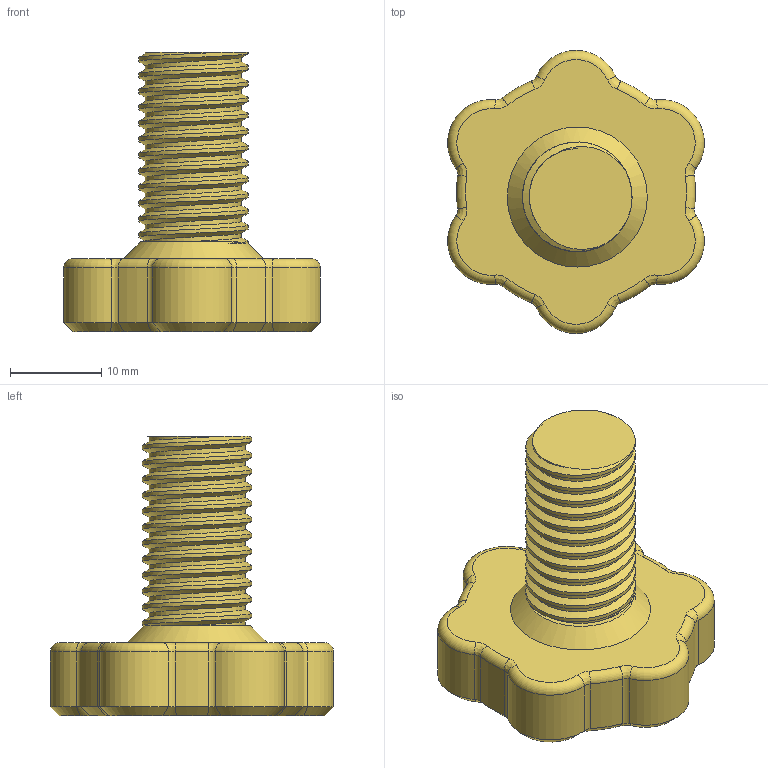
import cadquery as cq
import math

lobe_count = 6
lobe_step = 360 / lobe_count
first_lobe_angle = 90
lobe_centre_radius = 10.75
lobe_radius = 4.75
disc_radius = 13.1
valley_fillet = 1.0
knob_height = 8.0
rim_fillet = 1.0
rim_chamfer = 1.0

stud_x = 0.14
stud_y = -0.56
total_height = 30.62

major_radius = 6.0
pitch = 1.75
thread_depth = 0.74
crest_width = 0.42
flank_angle = 30.0
ridge_overlap = 0.2
core_radius = major_radius - thread_depth

collar_height = 1.85
collar_base_radius = 7.67
collar_top_radius = collar_base_radius - collar_height

ridge_turns = 13
extra_turns = 1
ridge_rise = 0.08
ridge_start = total_height + ridge_rise - ridge_turns * pitch


def make_knob():
    lobe_spots = cq.Workplane("XY").polarArray(lobe_centre_radius, first_lobe_angle, 360, lobe_count)
    knob = cq.Workplane("XY").circle(disc_radius).extrude(knob_height)
    knob = knob.union(lobe_spots.circle(lobe_radius).extrude(knob_height))
    triangle_cosine = (disc_radius**2 + lobe_centre_radius**2 - lobe_radius**2) / (
        2 * disc_radius * lobe_centre_radius
    )
    valley_angle = math.degrees(math.acos(triangle_cosine))
    for lobe in range(lobe_count):
        for side in (-1, 1):
            angle = math.radians(first_lobe_angle + lobe * lobe_step + side * valley_angle)
            spot = (disc_radius * math.cos(angle), disc_radius * math.sin(angle), knob_height / 2)
            knob = knob.edges(cq.selectors.NearestToPointSelector(spot)).fillet(valley_fillet)
    knob = knob.faces(">Z").edges().fillet(rim_fillet)
    return knob.faces("<Z").edges().chamfer(rim_chamfer)


def make_collar():
    return (
        cq.Workplane("XY")
        .workplane(offset=knob_height)
        .circle(collar_base_radius)
        .workplane(offset=collar_height)
        .circle(collar_top_radius)
        .loft(ruled=True)
    )


def make_stud():
    core = (
        cq.Workplane("XY").workplane(offset=knob_height)
        .circle(core_radius).extrude(total_height - knob_height)
    )
    root_radius = core_radius - ridge_overlap
    half_crest = crest_width / 2
    half_root = half_crest + (thread_depth + ridge_overlap) * math.tan(math.radians(flank_angle))
    helix = cq.Wire.makeHelix(pitch, (ridge_turns + extra_turns) * pitch, root_radius)
    ridge = (
        cq.Workplane("XZ")
        .moveTo(root_radius, -half_root)
        .lineTo(major_radius, -half_crest)
        .lineTo(major_radius, half_crest)
        .lineTo(root_radius, half_root)
        .close()
        .sweep(cq.Workplane(obj=helix), isFrenet=True)
        .translate((0, 0, ridge_start))
    )
    trim = (
        cq.Workplane("XY").workplane(offset=total_height)
        .circle(2 * major_radius).extrude(2 * pitch)
    )
    return core.union(ridge.cut(trim))


stud = make_stud().union(make_collar()).translate((stud_x, stud_y, 0))
result = make_knob().union(stud)